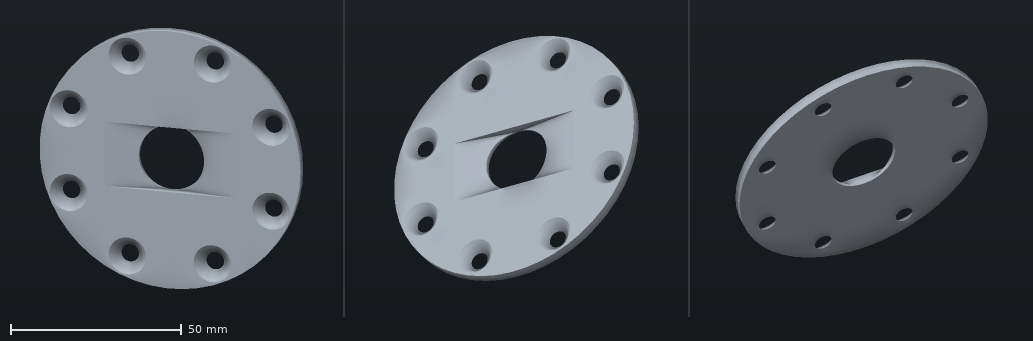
import cadquery as cq

disc_diameter = 79.8
thickness = 3.0
front_y = -thickness / 2

bore_diameter = 20.0
recess_length = 2 * bore_diameter
recess_height = bore_diameter
recess_depth = thickness

hole_near_offset = 13.0
hole_far_offset = 31.0
hole_diameter = 5.3
countersink_diameter = 11.4
countersink_angle = 90.0


def make_disc():
    """Plain disc centred on the origin."""
    front_plane = cq.Plane(origin=(0, front_y, 0), xDir=(1, 0, 0), normal=(0, -1, 0))
    return cq.Workplane(front_plane).circle(disc_diameter / 2).extrude(-thickness)


def make_recess():
    """Triangular prism whose two sloping floors meet at the middle of the disc."""
    return (
        cq.Workplane("XY")
        .moveTo(-recess_length / 2, front_y)
        .lineTo(recess_length / 2, front_y)
        .lineTo(0, front_y + recess_depth)
        .close()
        .extrude(recess_height / 2, both=True)
    )


disc = make_disc().faces("<Y").workplane(origin=(0, front_y, 0)).hole(bore_diameter)

hole_positions = []
for side_x in (-1, 1):
    for side_z in (-1, 1):
        hole_positions.append((side_x * hole_near_offset, side_z * hole_far_offset))
        hole_positions.append((side_x * hole_far_offset, side_z * hole_near_offset))

drilled = (
    disc.faces("<Y")
    .workplane(origin=(0, front_y, 0))
    .pushPoints(hole_positions)
    .cskHole(hole_diameter, countersink_diameter, countersink_angle)
)

result = drilled.cut(make_recess())